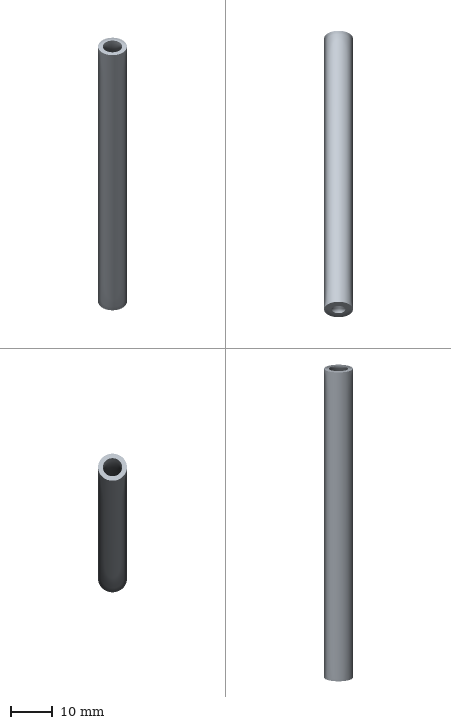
import cadquery as cq

length = 77.0
outer_diameter = 6.9
counterbore_diameter = 4.6
through_diameter = 3.3
counterbore_depth = 38.5

tube = (
    cq.Workplane("XY")
    .circle(outer_diameter / 2)
    .circle(through_diameter / 2)
    .extrude(length)
)

counterbore = (
    cq.Workplane("XY")
    .workplane(offset=length - counterbore_depth)
    .circle(counterbore_diameter / 2)
    .extrude(counterbore_depth)
)

result = tube.cut(counterbore)